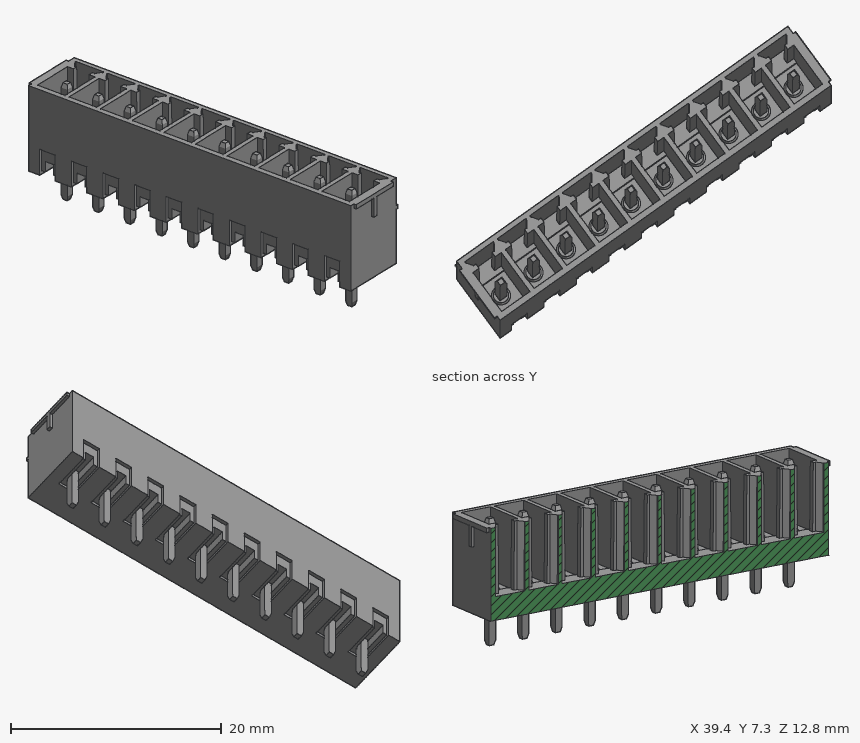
import cadquery as cq


contact_count = 10
row_span = 34.28
pitch = row_span / (contact_count - 1)
row_start = -row_span / 2
contact_places = [row_start + pitch * i for i in range(contact_count)]

total_length = 39.4
total_depth = 7.3
tab_reach = 0.295
housing_length = total_length - 2 * tab_reach
rib_reach = 0.25
housing_depth = total_depth - rib_reach
housing_height = 9.25

rib_bottom = 5.85
rib_height = 0.45

key_front = 0.47
key_back = 6.2
key_bar_height = 0.47
key_stem_center = 3.43
key_stem_width = 0.47
key_height = 2.52

floor_level = 2.0
ledge_height = 0.4
ledge_front = 4.75
chamber_half_width = 1.65
chamber_front = 0.6
chamber_back = 6.55
arm_front = 5.25
arm_back = 5.75
flare_half_width = 1.22
flare_drop = 0.15
arm_gap_half_width = 0.95
draft_offset = 0.08

pin_y = 3.0
pin_width = 0.8
pin_bottom = -3.55
pin_top = 9.05
pin_tip_width = 0.5
pin_tip_length = 0.5

collar_base_diameter = 1.8
collar_top_diameter = 1.45
collar_height = 0.2

foot_width = 1.4
foot_reach = 0.28
foot_height = 0.4

notch_width = 1.85
notch_height = 2.8
notch_depth = 0.3
slot_diameter = 1.0
slot_height = 1.5
channel_back = 3.95
channel_height = 0.35


def block(x_center, width, y_front, y_back, z_bottom, height):
    """Box centred on x_center and placed by its front, back and bottom."""
    return (
        cq.Workplane("XY", origin=(x_center, (y_front + y_back) / 2, z_bottom))
        .rect(width, y_back - y_front)
        .extrude(height)
    )


def chamber_outline(draft):
    """Plan of a chamber; draft narrows the gap between the arms and moves the back wall in."""
    back = chamber_back - draft
    gap = arm_gap_half_width - draft
    right_side = [
        (chamber_half_width, chamber_front),
        (chamber_half_width, arm_front),
        (gap, arm_front),
        (gap, arm_back),
        (flare_half_width, arm_back),
        (chamber_half_width, back - flare_drop),
        (chamber_half_width, back),
    ]
    left_side = [(-x, y) for x, y in reversed(right_side)]
    return right_side + left_side


def make_chamber():
    """Drafted plug chamber with a raised ledge left along the back of its floor."""
    chamber = (
        cq.Workplane("XY", origin=(0, 0, floor_level))
        .polyline(chamber_outline(draft_offset))
        .close()
        .workplane(offset=housing_height - floor_level)
        .polyline(chamber_outline(0))
        .close()
        .loft(ruled=True)
    )
    ledge = block(0, 2 * chamber_half_width, ledge_front, chamber_back, floor_level, ledge_height)
    return chamber.cut(ledge)


def make_bottom_opening():
    """Front notch, round-ended pin slot and shallow channel under the housing."""
    notch = block(0, notch_width, 0, notch_depth, 0, notch_height)
    channel = block(0, notch_width, 0, channel_back, 0, channel_height)
    slot = block(0, slot_diameter, 0, pin_y, 0, slot_height)
    slot_end = cq.Workplane("XY").center(0, pin_y).circle(slot_diameter / 2).extrude(slot_height)
    return notch.union(channel).union(slot).union(slot_end)


def pin_tip(z_base, direction):
    """Tapered pin end pointing up (direction 1) or down (direction -1)."""
    return (
        cq.Workplane("XY", origin=(0, pin_y, z_base))
        .rect(pin_width, pin_width)
        .workplane(offset=direction * pin_tip_length)
        .rect(pin_tip_width, pin_tip_width)
        .loft(ruled=True)
    )


def make_pin():
    """Square pin with both ends tapered."""
    shank_bottom = pin_bottom + pin_tip_length
    shank_top = pin_top - pin_tip_length
    half_width = pin_width / 2
    shank = block(
        0, pin_width, pin_y - half_width, pin_y + half_width, shank_bottom, shank_top - shank_bottom
    )
    return shank.union(pin_tip(shank_bottom, -1)).union(pin_tip(shank_top, 1))


def make_collar():
    """Truncated cone standing on the chamber floor."""
    return (
        cq.Workplane("XY", origin=(0, pin_y, floor_level))
        .circle(collar_base_diameter / 2)
        .workplane(offset=collar_height)
        .circle(collar_top_diameter / 2)
        .loft(ruled=True)
    )


def make_foot():
    """Circular segment against the front wall, its top sloping down toward the pin."""
    segment = (
        cq.Workplane("XY", origin=(0, chamber_front, floor_level))
        .moveTo(-foot_width / 2, 0)
        .threePointArc((0, foot_reach), (foot_width / 2, 0))
        .close()
        .extrude(foot_height)
    )
    slope = (
        cq.Workplane("YZ", origin=(-foot_width / 2, chamber_front, floor_level))
        .polyline([(0, 0), (foot_reach, 0), (foot_reach, foot_height - foot_reach), (0, foot_height)])
        .close()
        .extrude(foot_width)
    )
    return segment.intersect(slope)


def make_end_key(side):
    """T-shaped key on the end face at -X (side -1) or +X (side 1)."""
    x_center = side * (housing_length + tab_reach) / 2
    bar = block(
        x_center, tab_reach, key_front, key_back, housing_height - key_bar_height, key_bar_height
    )
    stem = block(
        x_center,
        tab_reach,
        key_stem_center - key_stem_width / 2,
        key_stem_center + key_stem_width / 2,
        housing_height - key_height,
        key_height,
    )
    return bar.union(stem)


def make_housing():
    """Outer block with the back rib and the end keys."""
    housing = block(0, housing_length, 0, housing_depth, 0, housing_height)
    rib = block(0, housing_length, housing_depth, total_depth, rib_bottom, rib_height)
    return housing.union(rib).union(make_end_key(-1)).union(make_end_key(1))


contact_void = make_chamber().union(make_bottom_opening())
contact_insert = make_pin().union(make_collar()).union(make_foot())

result = make_housing()
for x in contact_places:
    result = result.cut(contact_void.translate((x, 0, 0)))
for x in contact_places:
    result = result.union(contact_insert.translate((x, 0, 0)))